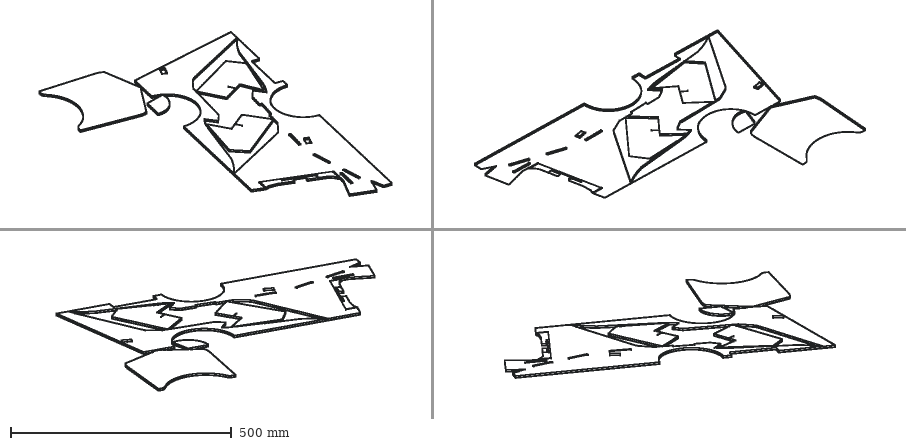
import cadquery as cq
import math

THICKNESS = 5.0
SIDE_WIDTH = 292.5
KIT_WIDTH = 505.0

TIP_X = 28.0
HEEL_X = 542.0
TURN_CENTRE = ((TIP_X + HEEL_X) / 2, SIDE_WIDTH / 2)
ARCH_X = 338.0
ARCH_RADIUS = 75.0
WINDOW_CENTRE = (496.5, 215.5)
WINDOW_SIZE = (23.5, 12.0)
WINDOW_ANGLE = -14

NOTCH_X = (133.0, 243.0)
NOTCH_DEPTH = 20.5
NOTCH_FILLET = 3.0
RECESS_X = (305.0, 355.0)
RECESS_TOP = (203.0, 200.0)
RECESS_BOTTOM = 190.0
SLOT_LENGTH = 50.0
SLOTS = [
    ((671.0, 232.0), 16),
    ((681.5, 213.0), 0),
    ((580.0, 205.5), 16),
    ((477.5, 193.0), -2),
]

HINGE_BOTTOM = (601.5, 31.0)
HINGE_TOP = (643.0, 202.0)
TAIL_EDGE_X = 630.5
FLAP_CLEARANCE = 2.0
FLAP_WIDTH = 17.5
SPINE_WIDTH = 4.0
SPINE_SLIT = 3.0
FLAP_NOTCH = (79.0, 109.0)
SPINE_SLIT_SPAN = (52.5, 132.5)
CROSS_SLIT_AT = 134.0
CROSS_SLIT_WIDTH = 1.0

ARROW_PLACES = [((187.0, 99.0), 124), ((378.5, 193.0), -50)]
ARROW_SLIT_X = 51.0
ARROW_BACK_Y = -74.0
ARROW_SLIT_LENGTH = 18.0
ARROW_SLIT_WIDTH = 1.0

SECTOR_CENTRE = (180.0, -23.5)
SECTOR_RADIUS = 51.0
SECTOR_ANGLE = 109

SHIELD_X = 112.0
SHIELD_TOP = -3.0
SHIELD_BOTTOM = SIDE_WIDTH - KIT_WIDTH


def plate(outline):
    """Extrude a closed outline to the sheet thickness."""
    return outline.close().extrude(THICKNESS)


def bar(centre, length, width, angle):
    """A rectangular cutter as thick as the sheet."""
    cutter = cq.Workplane("XY").rect(length, width).extrude(THICKNESS)
    return cutter.rotate((0, 0, 0), (0, 0, 1), angle).translate(centre)


def side_plate(tail):
    """A side plate with the shared nose, arch and window, closed by its own tail points."""
    outline = (
        cq.Workplane("XY")
        .moveTo(TIP_X, SIDE_WIDTH)
        .threePointArc((56.0, 277.0), (86.0, 266.5))
        .lineTo(228.0, 248.0)
        .threePointArc((249.0, 244.0), (269.0, 236.0))
        .lineTo(247.0, 212.5)
        .lineTo(268.0, 199.0)
        .lineTo(397.0, 193.5)
        .lineTo(431.0, 176.0)
        .lineTo(437.0, 169.0)
        .lineTo(HEEL_X, 0)
    )
    for point in tail:
        outline = outline.lineTo(*point)
    arch = cq.Workplane("XY").center(ARCH_X, SIDE_WIDTH).circle(ARCH_RADIUS).extrude(THICKNESS)
    window = bar(WINDOW_CENTRE, *WINDOW_SIZE, WINDOW_ANGLE)
    return plate(outline).cut(arch).cut(window)


def make_short_side():
    tail = [(570.0, 0), (491.0, SIDE_WIDTH)]
    turn_x, turn_y = TURN_CENTRE
    return side_plate(tail).rotate((turn_x, turn_y, 0), (turn_x, turn_y, 1), 180)


def make_long_side():
    tail = [
        (623.0, 0),
        (TAIL_EDGE_X, HINGE_BOTTOM[1]),
        HINGE_BOTTOM,
        HINGE_TOP,
        (689.0, HINGE_TOP[1]),
        (747.0, 185.0),
        (761.5, 247.5),
        (719.0, 257.0),
        (751.5, 271.0),
        (751.5, SIDE_WIDTH),
    ]
    body = side_plate(tail)

    notch = (
        cq.Workplane("XY")
        .center(sum(NOTCH_X) / 2, SIDE_WIDTH)
        .rect(NOTCH_X[1] - NOTCH_X[0], 2 * NOTCH_DEPTH)
        .extrude(THICKNESS)
        .edges("|Z")
        .fillet(NOTCH_FILLET)
    )
    recess = plate(
        cq.Workplane("XY")
        .moveTo(RECESS_X[0], RECESS_BOTTOM)
        .lineTo(RECESS_X[0], RECESS_TOP[0])
        .lineTo(RECESS_X[1], RECESS_TOP[1])
        .lineTo(RECESS_X[1], RECESS_BOTTOM)
    )
    body = body.cut(notch).cut(recess)
    for centre, angle in SLOTS:
        body = body.cut(bar(centre, SLOT_LENGTH, THICKNESS, angle))
    return body


HINGE_RUN = HINGE_TOP[0] - HINGE_BOTTOM[0]
HINGE_RISE = HINGE_TOP[1] - HINGE_BOTTOM[1]
HINGE_LENGTH = math.hypot(HINGE_RUN, HINGE_RISE)


def by_hinge(along, away):
    """The point at a length along the hinge from its bottom end and a distance away from it."""
    along_x = HINGE_RUN / HINGE_LENGTH
    along_y = HINGE_RISE / HINGE_LENGTH
    return (
        HINGE_BOTTOM[0] + along * along_x + away * along_y,
        HINGE_BOTTOM[1] + along * along_y - away * along_x,
    )


def hinge_block(along, away):
    """A rectangular cutter spanning two lengths along the hinge and two distances from it."""
    corners = [
        by_hinge(along[0], away[0]),
        by_hinge(along[1], away[0]),
        by_hinge(along[1], away[1]),
        by_hinge(along[0], away[1]),
    ]
    return plate(cq.Workplane("XY").polyline(corners))


def make_flap():
    end_step = FLAP_CLEARANCE * HINGE_LENGTH / HINGE_RISE
    bottom_y = HINGE_BOTTOM[1] + FLAP_CLEARANCE
    top_y = HINGE_TOP[1] - FLAP_CLEARANCE
    body = plate(
        cq.Workplane("XY")
        .moveTo(*by_hinge(end_step, 0))
        .lineTo(TAIL_EDGE_X, bottom_y)
        .lineTo(627.0, 43.0)
        .lineTo(*by_hinge(39.5, FLAP_WIDTH))
        .lineTo(*by_hinge(158.0, FLAP_WIDTH))
        .threePointArc((662.0, 190.0), (672.0, top_y))
        .lineTo(*by_hinge(HINGE_LENGTH - end_step, 0))
    )
    beyond = 2 * FLAP_WIDTH
    slit_far_side = SPINE_WIDTH + SPINE_SLIT
    notch = hinge_block(FLAP_NOTCH, (SPINE_WIDTH, beyond))
    spine_slit = hinge_block(SPINE_SLIT_SPAN, (SPINE_WIDTH, slit_far_side))
    cross_span = (CROSS_SLIT_AT, CROSS_SLIT_AT + CROSS_SLIT_WIDTH)
    cross_slit = hinge_block(cross_span, (SPINE_WIDTH, beyond))
    return body.cut(notch).cut(spine_slit).cut(cross_slit)


def make_arrow(start, angle):
    corners = [(0, 0), (148.0, 0), (160.0, -46.0), (74.0, -134.0), (72.0, ARROW_BACK_Y), (7.0, ARROW_BACK_Y)]
    body = plate(cq.Workplane("XY").polyline(corners))
    slit = bar((ARROW_SLIT_X, ARROW_BACK_Y), ARROW_SLIT_WIDTH, 2 * ARROW_SLIT_LENGTH, 0)
    return body.cut(slit).rotate((0, 0, 0), (0, 0, 1), angle).translate(start)


def make_sector():
    def rim(angle):
        turn = math.radians(angle)
        return (
            SECTOR_CENTRE[0] + SECTOR_RADIUS * math.cos(turn),
            SECTOR_CENTRE[1] + SECTOR_RADIUS * math.sin(turn),
        )

    outline = cq.Workplane("XY").moveTo(*SECTOR_CENTRE).lineTo(*rim(0))
    return plate(outline.threePointArc(rim(SECTOR_ANGLE / 2), rim(SECTOR_ANGLE)))


def make_shield():
    half = plate(
        cq.Workplane("XY")
        .moveTo(0, SHIELD_TOP)
        .lineTo(99.0, -43.0)
        .threePointArc((102.0, -52.5), (103.0, -64.0))
        .lineTo(97.0, SHIELD_BOTTOM)
        .lineTo(90.0, SHIELD_BOTTOM)
        .threePointArc((83.0, -211.0), (78.0, -206.0))
        .threePointArc((43.5, -176.0), (0, -165.0))
    )
    whole = half.union(half.mirror("YZ")).clean()
    return whole.translate((SHIELD_X, 0))


short_side = make_short_side()
long_side = make_long_side()
flap = make_flap()
arrows = [make_arrow(start, angle) for start, angle in ARROW_PLACES]
sector = make_sector()
shield = make_shield()

result = cq.Compound.makeCompound([
    short_side.val(),
    long_side.val(),
    flap.val(),
    *[arrow.val() for arrow in arrows],
    sector.val(),
    shield.val(),
])